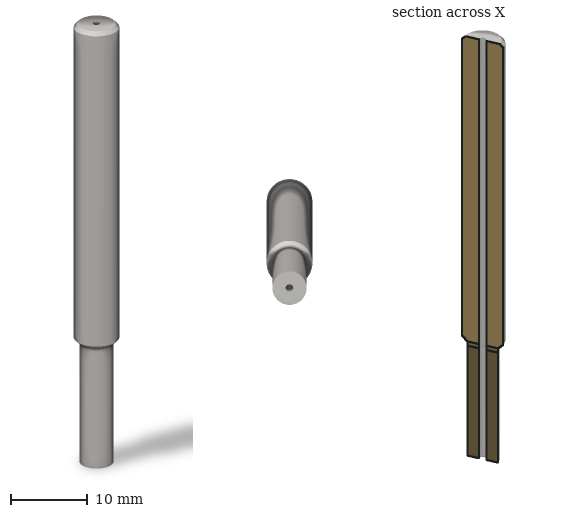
import cadquery as cq

total_length = 63.0
body_diameter = 6.0
shank_diameter = 4.5
bore_diameter = 1.0

shank_top = 16.5
ring_height = 0.6
ring_top = shank_top + ring_height

top_chamfer = 0.5
bottom_chamfer = (body_diameter - shank_diameter) / 2


def make_tube(diameter, bottom, top):
    """Upright tube on the Z axis with the common bore running through it."""
    return (
        cq.Workplane("XY", origin=(0, 0, bottom))
        .circle(diameter / 2)
        .circle(bore_diameter / 2)
        .extrude(top - bottom)
    )


def make_body():
    """Wide upper tube with its two outer end edges chamfered."""
    tube = make_tube(body_diameter, ring_top, total_length)
    outer_edge = cq.selectors.RadiusNthSelector(-1)
    tube = tube.faces(">Z").edges(outer_edge).chamfer(top_chamfer)
    return tube.faces("<Z").edges(outer_edge).chamfer(bottom_chamfer)


def make_ring():
    """Short joining ring between the shank and the body."""
    return make_tube(shank_diameter, shank_top, ring_top)


def make_shank():
    """Narrow lower tube."""
    return make_tube(shank_diameter, 0, shank_top)


body = make_body()
ring = make_ring()
shank = make_shank()

result = cq.Compound.makeCompound([body.val(), ring.val(), shank.val()])